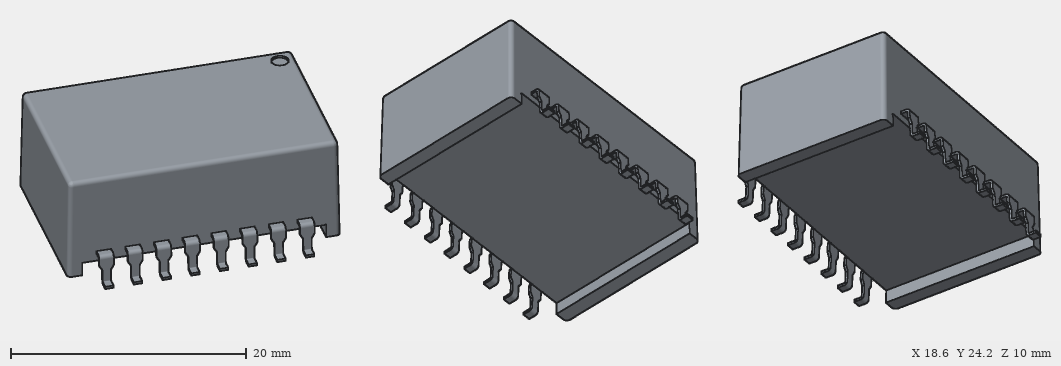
import cadquery as cq
import math

body_length = 24.15
body_width = 15.15
body_bottom = 0.58
overall_height = 10.0
body_height = overall_height - body_bottom
draft_angle = 1.0
edge_radius = 0.4

relief_length = 21.55
relief_top = 1.84

dot_diameter = 1.5
dot_depth = 0.2
dot_x = -6.0
dot_y = 10.53

leads_per_side = 8
lead_pitch = 2.54
lead_span = 18.6
lead_thickness = 0.25
lead_top = 2.8
lead_wide = 1.3
lead_narrow = 0.75
lead_taper_top = 1.8
lead_taper_bottom = 1.35
lead_root_x = 6.75
lead_foot_bend_x = 8.3
lead_lean = 2.5
bend_inner_radius = 0.1
bend_outer_radius = bend_inner_radius + lead_thickness


def make_body():
    body = (
        cq.Workplane("XY", origin=(0, 0, body_bottom))
        .rect(body_width, body_length)
        .extrude(body_height, taper=draft_angle)
    )
    body = body.edges("not(|X or |Y)").fillet(edge_radius)
    body = body.faces(">Z").edges().fillet(edge_radius)
    relief = cq.Workplane("XY").box(body_width, relief_length, relief_top, centered=(True, True, False))
    dot = (
        cq.Workplane("XY", origin=(dot_x, dot_y, overall_height - dot_depth))
        .circle(dot_diameter / 2)
        .extrude(dot_depth)
    )
    return body.cut(relief).cut(dot)


def make_lead():
    """One +X lead centred on Y = 0: bent strip trimmed to a wide top and a narrow foot."""
    lean_slope = math.tan(math.radians(lead_lean))
    shank_width = lead_thickness / math.cos(math.radians(lead_lean))
    arm_bottom = lead_top - lead_thickness
    tip_x = lead_span / 2

    def inner_x(z):
        return lead_foot_bend_x - lean_slope * z

    def outer_x(z):
        return inner_x(z) + shank_width

    strip = (
        cq.Workplane("XZ")
        .moveTo(lead_root_x, arm_bottom)
        .lineTo(inner_x(arm_bottom), arm_bottom)
        .lineTo(inner_x(0), 0)
        .lineTo(tip_x, 0)
        .lineTo(tip_x, lead_thickness)
        .lineTo(outer_x(lead_thickness), lead_thickness)
        .lineTo(outer_x(lead_top), lead_top)
        .lineTo(lead_root_x, lead_top)
        .close()
        .extrude(lead_wide / 2, both=True)
    )

    def round_bend(lead, x, z, radius):
        corner = cq.selectors.NearestToPointSelector((x, 0, z))
        return lead.edges("|Y").edges(corner).fillet(radius)

    strip = round_bend(strip, outer_x(lead_top), lead_top, bend_outer_radius)
    strip = round_bend(strip, inner_x(arm_bottom), arm_bottom, bend_inner_radius)
    strip = round_bend(strip, inner_x(0), 0, bend_outer_radius)
    strip = round_bend(strip, outer_x(lead_thickness), lead_thickness, bend_inner_radius)

    outline = (
        cq.Workplane("YZ")
        .moveTo(-lead_narrow / 2, 0)
        .lineTo(lead_narrow / 2, 0)
        .lineTo(lead_narrow / 2, lead_taper_bottom)
        .lineTo(lead_wide / 2, lead_taper_top)
        .lineTo(lead_wide / 2, lead_top)
        .lineTo(-lead_wide / 2, lead_top)
        .lineTo(-lead_wide / 2, lead_taper_top)
        .lineTo(-lead_narrow / 2, lead_taper_bottom)
        .close()
        .extrude(lead_span / 2)
    )
    return strip.intersect(outline)


result = make_body()
lead_at_plus_x = make_lead()
lead_at_minus_x = lead_at_plus_x.mirror("YZ")
for index in range(leads_per_side):
    lead_y = (index - (leads_per_side - 1) / 2) * lead_pitch
    for lead in (lead_at_plus_x, lead_at_minus_x):
        result = result.union(lead.translate((0, lead_y, 0)))